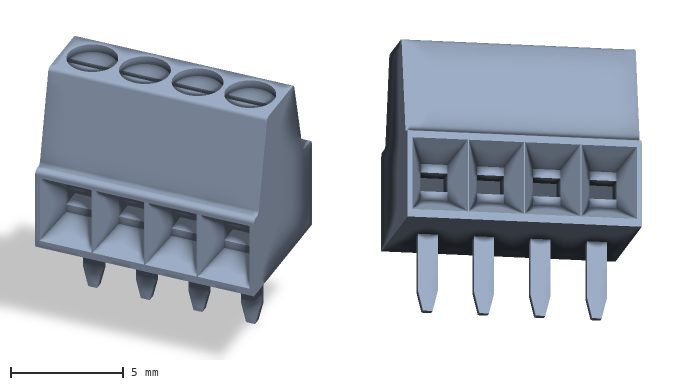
import cadquery as cq


pole_count = 4
body_length = 10.56
row_margin = 0.4
pitch = (body_length - row_margin) / pole_count

body_depth = 6.5
overall_height = 12.0
body_height = 8.5
front_shelf_height = 4.0
back_shelf_height = 4.48
front_shelf_depth = 0.5
back_shelf_depth = 1.0
top_front = 1.5
top_back = 4.5
edge_radius = 0.2

screw_diameter = 2.3
screw_sink = 0.4
slot_width = 0.3
slot_depth = 0.2
screw_y = (top_front + top_back) / 2

entry_center_z = 1.99
entry_width = 2.5
entry_height = 3.28
throat_width = 1.22
throat_height = 1.65
funnel_depth = 1.5
clamp_height = 0.85
clamp_depth = 1.0

pin_width = 0.9
pin_thickness = 0.4
pin_length = overall_height - body_height
pin_tip_width = 0.43
pin_tip_length = 0.94
pin_y = 3.23
pin_embed = 0.12

pole_positions = [(i - (pole_count - 1) / 2) * pitch for i in range(pole_count)]


def make_housing():
    """Stepped profile with sloping flanks, rounded along its upper long edges."""
    profile = [
        (0, 0),
        (0, front_shelf_height),
        (front_shelf_depth, front_shelf_height),
        (top_front, body_height),
        (top_back, body_height),
        (body_depth - back_shelf_depth, back_shelf_height),
        (body_depth, back_shelf_height),
        (body_depth, 0),
    ]
    block = cq.Workplane("YZ").polyline(profile).close().extrude(body_length / 2, both=True)
    upper_edges = block.edges("|X").filter(lambda edge: edge.Center().z > edge_radius)
    return upper_edges.fillet(edge_radius)


def make_screw_recess(x):
    """Round recess down to the screw head, plus the driver slot across the head."""
    head_z = body_height - screw_sink
    top = cq.Workplane("XY", origin=(x, screw_y, body_height))
    head = cq.Workplane("XY", origin=(x, screw_y, head_z))
    recess = top.circle(screw_diameter / 2).extrude(-screw_sink)
    slot = head.rect(screw_diameter, slot_width).extrude(-slot_depth)
    round_limit = head.circle(screw_diameter / 2).extrude(-slot_depth)
    return recess.union(slot.intersect(round_limit))


def make_wire_entry(x):
    """Rectangular funnel from the front face, ending in the clamp opening."""
    front = cq.Workplane("XZ", origin=(x, 0, entry_center_z))
    funnel = (
        front.rect(entry_width, entry_height)
        .workplane(offset=-funnel_depth)
        .rect(throat_width, throat_height)
        .loft(ruled=True)
    )
    clamp = front.rect(throat_width, clamp_height).extrude(-(funnel_depth + clamp_depth))
    return funnel.union(clamp)


def make_pin(x):
    """Flat solder pin with a tapered tip, rooted inside the housing."""
    half_width = pin_width / 2
    half_tip = pin_tip_width / 2
    taper_z = pin_tip_length - pin_length
    outline = [
        (-half_width, pin_embed),
        (-half_width, taper_z),
        (-half_tip, -pin_length),
        (half_tip, -pin_length),
        (half_width, taper_z),
        (half_width, pin_embed),
    ]
    plane = cq.Workplane("XZ", origin=(x, pin_y, 0))
    return plane.polyline(outline).close().extrude(pin_thickness / 2, both=True)


result = make_housing()
for pole_x in pole_positions:
    result = result.cut(make_screw_recess(pole_x))
    result = result.cut(make_wire_entry(pole_x))
    result = result.union(make_pin(pole_x))